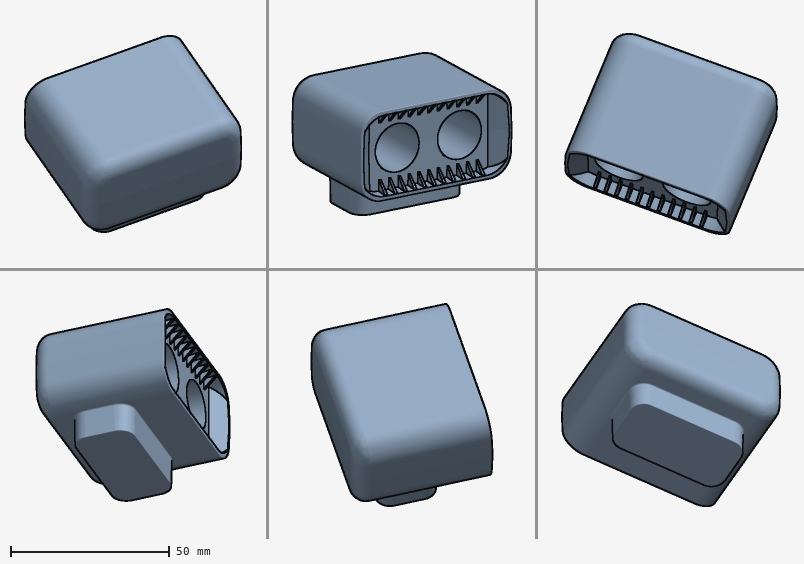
import cadquery as cq
import math


LENGTH = 45.3
WIDTH = 56.0
HEIGHT = 30.0
CORNER_RADIUS = 8.0
NOSE_RADIUS = 5.0
DRAFT_DEGREES = 1
RIM_EDGE_RADIUS = 0.2
RIM_SETBACK = 0.45

WALL = 1.35
SIDE_WALL = 0.95
CAVITY_DEPTH = 5.0
CAVITY_CORNER_RADIUS = 8.95
CAVITY_TAPER_DEGREES = 5
CAVITY_SIDE_SLOPE_DEGREES = 45
CAVITY_SIDE_LEAN = 0.5

BORE_DIAMETER = 16.25
BORE_SPACING = 23.1
BORE_END_WALL = NOSE_RADIUS

RIB_COUNT = 11
RIB_SPAN = 36.05
RIB_ROOT_THICKNESS = 1.05
RIB_TIP_THICKNESS = 0.7
RIB_HEIGHT = 4.25
RIB_TOE_X = 0.8

FOOT_LENGTH = 20.0
FOOT_WIDTH = 40.1
FOOT_HEIGHT = 9.95
FOOT_X = 25.2
FOOT_CORNER_RADIUS = 5.0
FOOT_EDGE_RADIUS = 0.2
FOOT_ROOT_RADIUS = 0.5

half_height = HEIGHT / 2
half_width = WIDTH / 2
inner_half_height = half_height - WALL
draft_setback = half_height * math.tan(math.radians(DRAFT_DEGREES))


def hexagon(start, end, top, start_lean, end_lean):
    """Points of a symmetric outline whose two ends are ridged at height 0."""
    return [
        (start, 0),
        (start + start_lean, top),
        (end - end_lean, top),
        (end, 0),
        (end - end_lean, -top),
        (start + start_lean, -top),
    ]


def rounded_section(points, radius):
    """Wire on the YZ plane: a ridged outline with its four outer corners rounded."""
    wire = cq.Workplane("YZ").polyline(points).close().val()
    corners = [vertex for vertex in wire.Vertices() if abs(vertex.Z) > radius]
    return cq.Workplane("YZ").add(wire.fillet2D(radius, corners)).toPending()


def make_housing():
    """Rounded block whose sides and ends are ridged at mid-height."""
    section = hexagon(-half_width, half_width, half_height, draft_setback, draft_setback)
    block = rounded_section(section, CORNER_RADIUS).extrude(LENGTH)
    profile = hexagon(0, LENGTH, half_height, RIM_SETBACK, draft_setback)
    block = block.intersect(cq.Workplane("XZ").polyline(profile).close().extrude(half_width, both=True))
    upper_half = block.intersect(
        cq.Workplane("XY").box(LENGTH, WIDTH, half_height, centered=(False, True, False)))
    upper_half = upper_half.faces(">X").edges("not <Z").fillet(NOSE_RADIUS)
    upper_half = upper_half.faces("<X").edges("not <Z").fillet(RIM_EDGE_RADIUS)
    return upper_half.union(upper_half.mirror("XY"))


def make_cavity():
    """Rounded recess with sloping side walls; sides and floor are ridged at mid-height."""
    outline = hexagon(-half_width, half_width, inner_half_height, SIDE_WALL, SIDE_WALL)
    recess = rounded_section(outline, CAVITY_CORNER_RADIUS).extrude(
        CAVITY_DEPTH, taper=CAVITY_TAPER_DEGREES)
    mouth_edge = half_width - SIDE_WALL
    floor_edge = mouth_edge - CAVITY_DEPTH * math.tan(math.radians(CAVITY_SIDE_SLOPE_DEGREES))
    mouth = hexagon(-mouth_edge, mouth_edge, half_height, CAVITY_SIDE_LEAN, CAVITY_SIDE_LEAN)
    floor = hexagon(-floor_edge, floor_edge, half_height, CAVITY_SIDE_LEAN, CAVITY_SIDE_LEAN)
    sloping_sides = (
        cq.Workplane("YZ").polyline(mouth).close()
        .workplane(offset=CAVITY_DEPTH).polyline(floor).close()
        .loft(ruled=True)
    )
    side_profile = hexagon(0, CAVITY_DEPTH, half_height, 0, draft_setback)
    ridged_floor = cq.Workplane("XZ").polyline(side_profile).close().extrude(half_width, both=True)
    return recess.intersect(sloping_sides).intersect(ridged_floor)


def make_bores():
    start = CAVITY_DEPTH - draft_setback
    depth = LENGTH - BORE_END_WALL - start
    return (
        cq.Workplane("YZ", origin=(start, 0, 0))
        .pushPoints([(-BORE_SPACING / 2, 0), (BORE_SPACING / 2, 0)])
        .circle(BORE_DIAMETER / 2)
        .extrude(depth)
    )


def make_rib():
    """Bottom rib at Y = 0: a triangle in side view, thinner toward its tip."""
    root = -half_height + WALL / 2
    tip = -inner_half_height + RIB_HEIGHT
    overlap = WALL / 2
    triangle = [
        (RIB_TOE_X, root),
        (RIB_TOE_X, -inner_half_height),
        (CAVITY_DEPTH, tip),
        (CAVITY_DEPTH + overlap, tip),
        (CAVITY_DEPTH + overlap, root),
    ]
    wedge = [
        (-RIB_ROOT_THICKNESS / 2, root),
        (-RIB_TIP_THICKNESS / 2, tip),
        (RIB_TIP_THICKNESS / 2, tip),
        (RIB_ROOT_THICKNESS / 2, root),
    ]
    side = cq.Workplane("XZ").polyline(triangle).close().extrude(RIB_ROOT_THICKNESS, both=True)
    return side.intersect(cq.Workplane("YZ").polyline(wedge).close().extrude(2 * CAVITY_DEPTH))


def add_ribs(body):
    bottom_rib = make_rib()
    top_rib = bottom_rib.mirror("XY")
    pitch = RIB_SPAN / (RIB_COUNT - 1)
    for index in range(RIB_COUNT):
        y = index * pitch - RIB_SPAN / 2
        body = body.union(bottom_rib.translate((0, y, 0))).union(top_rib.translate((0, y, 0)))
    return body


def add_foot(body):
    """Drafted foot, widening upward into the underside of the housing."""
    bottom = -half_height - FOOT_HEIGHT
    foot = (
        cq.Workplane("XY", origin=(FOOT_X, 0, bottom))
        .sketch().rect(FOOT_LENGTH, FOOT_WIDTH).vertices().fillet(FOOT_CORNER_RADIUS).finalize()
        .extrude(FOOT_HEIGHT + WALL, taper=-DRAFT_DEGREES)
        .faces("<Z").edges().fillet(FOOT_EDGE_RADIUS)
    )
    root_zone = cq.selectors.BoxSelector(
        (FOOT_X - FOOT_LENGTH, -FOOT_WIDTH, -half_height - FOOT_ROOT_RADIUS),
        (FOOT_X + FOOT_LENGTH, FOOT_WIDTH, -half_height + FOOT_ROOT_RADIUS))
    joined = body.union(foot)
    return joined.edges(root_zone).fillet(FOOT_ROOT_RADIUS)


result = make_housing()
result = add_foot(result)
result = result.cut(make_cavity()).cut(make_bores())
result = add_ribs(result)